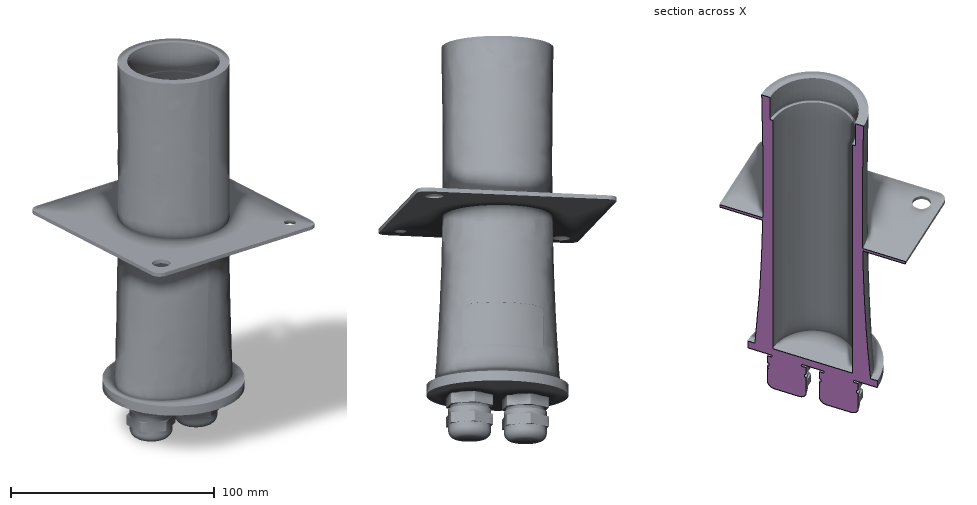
import cadquery as cq
import math

total_height = 197.0
flange_bottom = 22.3
flange_thickness = 5.0
flange_top = flange_bottom + flange_thickness

tube_diameter = 55.2
waist_height = 104.5
waist_x = 56.1
waist_y = 54.4
tube_base_x = 50.2
tube_base_y = 62.5
flange_diameter = 70.0

socket_diameter = 45.5
socket_depth = 15.0
bore_diameter = 42.5

plate_x = 102.8
plate_y = 100.0
plate_thickness = 2.0
plate_bottom = 111.9
plate_corner_radius = 5.0
hole_x = 41.4
hole_y = 40.2
large_hole_diameter = 9.0
small_hole_diameter = 6.0

gland_offset_y = 14.0
gland_neck_diameter = 16.4
gland_groove_diameter = 19.3
gland_diameter = 21.0
gland_end_radius = 4.0
gland_shoulder_height = 14.5
hex_across_flats = 21.0
hex_height = 5.1
hex_corner_radius = 0.5
lower_hex_bottom = 6.5
upper_hex_bottom = 16.2
upper_hex_top = upper_hex_bottom + hex_height

panel_width = 40.0
panel_height = 21.9
panel_center_y = 1.2
panel_center_z = 52.5
panel_corner_radius = 3.0
panel_depth = 0.2


def make_tube(inset=0):
    """Smooth loft from the base ellipse through the waist to the top circle, shrunk by an inset."""
    return (
        cq.Workplane("XY", origin=(0, 0, flange_top))
        .ellipse(tube_base_x / 2 - inset, tube_base_y / 2 - inset)
        .workplane(offset=waist_height - flange_top)
        .ellipse(waist_x / 2 - inset, waist_y / 2 - inset)
        .workplane(offset=total_height - waist_height)
        .circle(tube_diameter / 2 - inset)
        .loft()
    )


def make_panel_recess():
    """Rounded rectangle of even depth below the curved tube surface."""
    block = (
        cq.Workplane("YZ", origin=(0, panel_center_y, panel_center_z))
        .rect(panel_width, panel_height)
        .extrude(-flange_diameter / 2)
        .edges("|X")
        .fillet(panel_corner_radius)
    )
    return block.cut(make_tube(panel_depth))


def make_flange():
    base = cq.Workplane("XY", origin=(0, 0, flange_bottom))
    return base.circle(flange_diameter / 2).extrude(flange_thickness)


def make_plate():
    plate = (
        cq.Workplane("XY", origin=(0, 0, plate_bottom))
        .rect(plate_x, plate_y)
        .extrude(plate_thickness)
        .edges("|Z")
        .fillet(plate_corner_radius)
    )
    large_holes = [(-hole_x, hole_y), (hole_x, -hole_y)]
    small_holes = [(hole_x, hole_y)]
    plate = plate.faces(">Z").workplane(origin=(0, 0, 0)).pushPoints(large_holes).hole(large_hole_diameter)
    return plate.faces(">Z").workplane(origin=(0, 0, 0)).pushPoints(small_holes).hole(small_hole_diameter)


def make_hexagon(bottom):
    """Hexagonal prism with its flats facing along Y."""
    across_corners = hex_across_flats / math.cos(math.pi / 6)
    prism = cq.Workplane("XY", origin=(0, 0, bottom)).polygon(6, across_corners).extrude(hex_height)
    return prism.edges("|Z").fillet(hex_corner_radius)


def make_gland():
    radius = gland_diameter / 2
    groove_radius = gland_groove_diameter / 2
    neck_radius = gland_neck_diameter / 2
    arc_offset = gland_end_radius * math.sqrt(0.5)
    arc_middle = (radius - gland_end_radius + arc_offset, gland_end_radius - arc_offset)
    body = (
        cq.Workplane("XZ")
        .lineTo(radius - gland_end_radius, 0)
        .threePointArc(arc_middle, (radius, gland_end_radius))
        .lineTo(radius, gland_shoulder_height)
        .lineTo(groove_radius, gland_shoulder_height)
        .lineTo(groove_radius, upper_hex_top)
        .lineTo(neck_radius, upper_hex_top)
        .lineTo(neck_radius, flange_bottom)
        .lineTo(0, flange_bottom)
        .close()
        .revolve(360, (0, 0), (0, 1))
    )
    body = body.union(make_hexagon(lower_hex_bottom))
    return body.union(make_hexagon(upper_hex_bottom))


def make_bore():
    top = cq.Workplane("XY", origin=(0, 0, total_height))
    socket = top.circle(socket_diameter / 2).extrude(-socket_depth)
    return socket.union(top.circle(bore_diameter / 2).extrude(flange_top - total_height))


tube = make_tube().cut(make_panel_recess())
result = make_flange().union(tube).union(make_plate()).cut(make_bore())

gland = make_gland()
for side in (-1, 1):
    result = result.union(gland.translate((0, side * gland_offset_y, 0)))